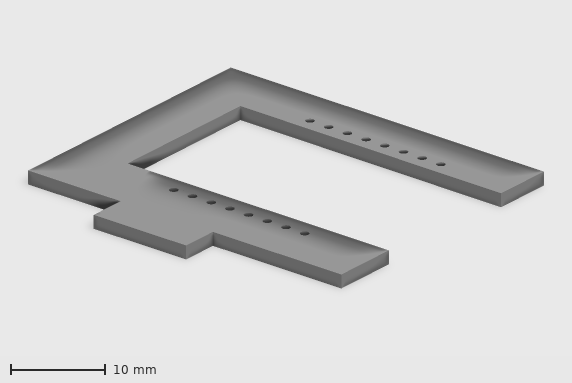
import cadquery as cq

length = 42.5
body_width = 34.0
thickness = 1.6
spine_width = 7.0
lower_arm_width = 8.0

upper_arm_root_width = 7.05
upper_arm_tip_width = 7.2

tab_start = 12.55
tab_length = 12.55
tab_depth = 4.5

hole_diameter = 1.0
holes_per_row = 8
row_start = 15.1
row_length = 17.75
hole_pitch = row_length / (holes_per_row - 1)
lower_row_y = 5.8
row_spacing = 22.85


def plate():
    tab_end = tab_start + tab_length
    outline = [
        (0, 0),
        (tab_start, 0),
        (tab_start, -tab_depth),
        (tab_end, -tab_depth),
        (tab_end, 0),
        (length, 0),
        (length, lower_arm_width),
        (spine_width, lower_arm_width),
        (spine_width, body_width - upper_arm_root_width),
        (length, body_width - upper_arm_tip_width),
        (length, body_width),
        (0, body_width),
    ]
    return cq.Workplane("XY").polyline(outline).close().extrude(thickness)


def hole_rows():
    centers = [
        (row_start + i * hole_pitch, y)
        for y in (lower_row_y, lower_row_y + row_spacing)
        for i in range(holes_per_row)
    ]
    return cq.Workplane("XY").pushPoints(centers).circle(hole_diameter / 2).extrude(thickness)


result = plate().cut(hole_rows())